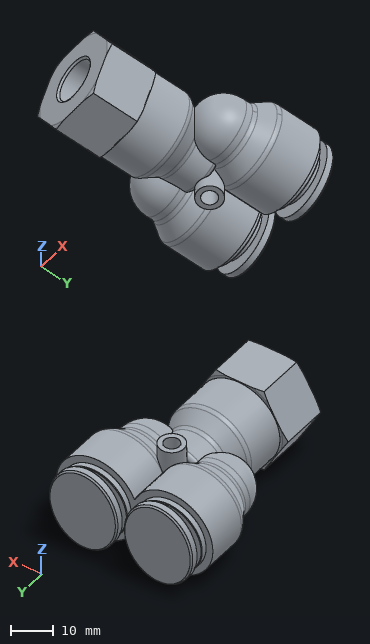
import cadquery as cq
import math


nut_length = 14.0
port_end_y = 56.1
collar_length = 1.75
sleeve_gap = 1.9
overall_length = 61.9

port_diameter = 23.5
neck_diameter = 17.0
overall_width = 45.0
taper_length = 4.95
taper_blend_radius = 2.2
port_taper_start_y = 39.0
dome_center_y = 36.5
stem_taper_start_y = 26.05
stem_end_y = 39.1
stem_end_radius = 1.25

eyelet_y = 41.05
eyelet_diameter = 7.0
eyelet_hole_diameter = 4.2

nut_across_flats = 24.0
nut_face_diameter = 25.0
nut_chamfer_angle = 16.0
thread_diameter = 11.45
thread_depth = 11.15
thread_mouth_diameter = 12.5
nut_bore_diameter = 10.0

collar_diameter = 19.6
collar_chamfer = 0.2
sleeve_stem_diameter = 14.2
flange_width = 19.6
flange_height = 22.55
flange_chamfer = 0.45

port_radius = port_diameter / 2
neck_radius = neck_diameter / 2
port_offset = (overall_width - port_diameter) / 2
collar_end_y = port_end_y + collar_length
flange_start_y = collar_end_y + sleeve_gap


def across_y(y, x=0.0):
    """Workplane across the Y axis at the given place, facing +Y."""
    return cq.Workplane(cq.Plane(origin=(x, y, 0), xDir=(1, 0, 0), normal=(0, 1, 0)))


def disc(diameter, start_y, end_y, x=0.0):
    return across_y(start_y, x).circle(diameter / 2).extrude(end_y - start_y)


def revolve_about_y(profile):
    return profile.close().revolve(360, (0, 0, 0), (0, 1, 0))


def blend_taper(body, start_y):
    """Round the two edges at the ends of the taper that begins at start_y."""
    reach = port_diameter
    margin = 0.6
    taper_zone = cq.selectors.BoxSelector(
        (-reach, start_y - margin, -reach),
        (reach, start_y + taper_length + margin, reach),
    )
    return body.edges("%CIRCLE").edges(taper_zone).fillet(taper_blend_radius)


def make_port(x):
    """Wide cylinder tapering to a neck that is closed by a hemisphere."""
    sphere_diagonal = neck_radius * math.sqrt(0.5)
    taper_end_y = port_taper_start_y + taper_length
    port = revolve_about_y(
        cq.Workplane("XY")
        .moveTo(0, dome_center_y - neck_radius)
        .threePointArc((sphere_diagonal, dome_center_y - sphere_diagonal), (neck_radius, dome_center_y))
        .lineTo(neck_radius, port_taper_start_y)
        .lineTo(port_radius, taper_end_y)
        .lineTo(port_radius, port_end_y)
        .lineTo(0, port_end_y)
    )
    return blend_taper(port, port_taper_start_y).translate((x, 0, 0))


def make_stem():
    """Cylinder behind the nut, tapering to a neck with a rounded end."""
    taper_end_y = stem_taper_start_y + taper_length
    stem = revolve_about_y(
        cq.Workplane("XY")
        .moveTo(0, nut_length)
        .lineTo(port_radius, nut_length)
        .lineTo(port_radius, stem_taper_start_y)
        .lineTo(neck_radius, taper_end_y)
        .lineTo(neck_radius, stem_end_y)
        .lineTo(0, stem_end_y)
    )
    stem = blend_taper(stem, stem_taper_start_y)
    return stem.faces(">Y").edges().fillet(stem_end_radius)


def eyelet_cylinder(diameter):
    return (
        cq.Workplane("XY", origin=(0, eyelet_y, 0))
        .circle(diameter / 2)
        .extrude(port_radius, both=True)
    )


def make_housing():
    housing = make_stem()
    for x in (-port_offset, port_offset):
        housing = housing.union(make_port(x))
    housing = housing.union(eyelet_cylinder(eyelet_diameter))
    return housing.cut(eyelet_cylinder(eyelet_hole_diameter))


def make_nut():
    corner_radius = nut_across_flats / math.sqrt(3)
    face_radius = nut_face_diameter / 2
    chamfer_depth = (corner_radius - face_radius) * math.tan(math.radians(nut_chamfer_angle))
    hexagon = across_y(0).polygon(6, 2 * corner_radius).extrude(nut_length)
    corner_trim = revolve_about_y(
        cq.Workplane("XY")
        .lineTo(face_radius, 0)
        .lineTo(corner_radius, chamfer_depth)
        .lineTo(corner_radius, nut_length - chamfer_depth)
        .lineTo(face_radius, nut_length)
        .lineTo(0, nut_length)
    )
    mouth_depth = (thread_mouth_diameter - thread_diameter) / 2
    bore = revolve_about_y(
        cq.Workplane("XY")
        .lineTo(thread_mouth_diameter / 2, 0)
        .lineTo(thread_diameter / 2, mouth_depth)
        .lineTo(thread_diameter / 2, thread_depth)
        .lineTo(nut_bore_diameter / 2, thread_depth)
        .lineTo(nut_bore_diameter / 2, nut_length)
        .lineTo(0, nut_length)
    )
    return hexagon.intersect(corner_trim).cut(bore)


def make_collar(x):
    collar = disc(collar_diameter, port_end_y, collar_end_y, x)
    return collar.faces(">Y").edges().chamfer(collar_chamfer)


def make_release_sleeve(x):
    """Round stem with an oval push flange."""
    flange = (
        across_y(flange_start_y, x)
        .ellipse(flange_width / 2, flange_height / 2)
        .extrude(overall_length - flange_start_y)
        .faces(">Y").edges().chamfer(flange_chamfer)
    )
    return flange.union(disc(sleeve_stem_diameter, collar_end_y, flange_start_y, x))


housing = make_housing()
nut = make_nut()
collars = []
release_sleeves = []
for port_x in (-port_offset, port_offset):
    collars.append(make_collar(port_x).val())
    release_sleeves.append(make_release_sleeve(port_x).val())

result = cq.Compound.makeCompound([housing.val(), nut.val(), *collars, *release_sleeves])